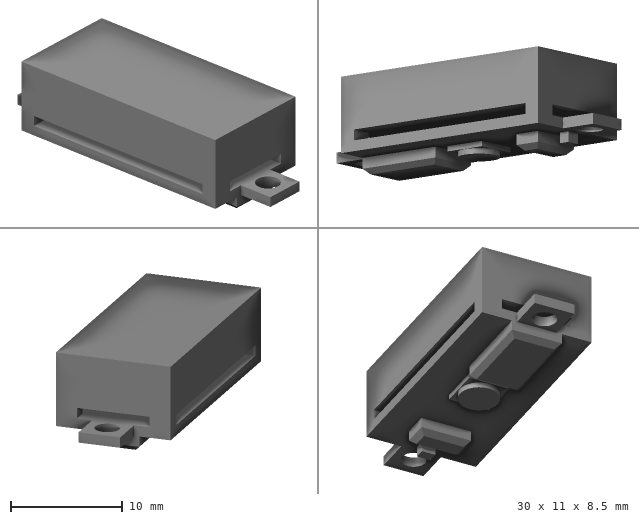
import cadquery as cq

overall_length = 30.0
board_length = 23.0
board_width = 11.0
board_thickness = 1.0
tab_width = 4.0
tab_hole_diameter = 2.3
tab_hole_edge_distance = 2.0

cover_height = 6.0
gap_height = 1.0
long_side_opening = 20.0
short_side_opening = 7.0

component_height = 1.0
bevel = 0.5
housing_width = 5.0

chip_length = 1.0
chip_width = 1.35
chip_center_x = -10.5

small_housing_length = 2.5
small_housing_center_x = -7.75

large_housing_length = 8.5
large_housing_center_x = (board_length - large_housing_length) / 2

button_base_size = 4.0
button_base_height = 0.48
button_diameter = 3.8
button_height = component_height - button_base_height


def make_board():
    """Rectangular plate and full-length tab strip, with a hole in each tab."""
    plate = cq.Workplane("XY").box(board_length, board_width, board_thickness, centered=(True, True, False))
    tabs = cq.Workplane("XY").box(overall_length, tab_width, board_thickness, centered=(True, True, False))
    hole_x = overall_length / 2 - tab_hole_edge_distance
    holes = (
        cq.Workplane("XY")
        .pushPoints([(-hole_x, 0), (hole_x, 0)])
        .circle(tab_hole_diameter / 2)
        .extrude(board_thickness)
    )
    return plate.union(tabs).cut(holes)


def make_cover():
    """Block with two crossing channels underneath, which leave a post at each corner."""
    base = cq.Workplane("XY").workplane(offset=board_thickness)
    block = base.rect(board_length, board_width).extrude(cover_height)
    long_side_channel = base.rect(long_side_opening, board_width).extrude(gap_height)
    short_side_channel = base.rect(board_length, short_side_opening).extrude(gap_height)
    return block.cut(long_side_channel).cut(short_side_channel)


def hanging_block(center_x, length, width, height):
    """Plain block hanging from the underside of the board."""
    return cq.Workplane("XY").center(center_x, 0).rect(length, width).extrude(-height)


def make_housing(center_x, length):
    """Component housing beveled all round its lower face."""
    block = hanging_block(center_x, length, housing_width, component_height + bevel)
    return block.faces("<Z").chamfer(bevel)


def make_button():
    """Round button hanging from the button base."""
    return (
        cq.Workplane("XY")
        .workplane(offset=-button_base_height)
        .circle(button_diameter / 2)
        .extrude(-button_height)
    )


board = make_board()
cover = make_cover()
chip = hanging_block(chip_center_x, chip_length, chip_width, component_height)
small_housing = make_housing(small_housing_center_x, small_housing_length)
large_housing = make_housing(large_housing_center_x, large_housing_length)
button_base = hanging_block(0, button_base_size, button_base_size, button_base_height)
button = make_button()

bodies = [board, cover, chip, small_housing, large_housing, button_base, button]
result = cq.Compound.makeCompound([body.solids().val() for body in bodies])